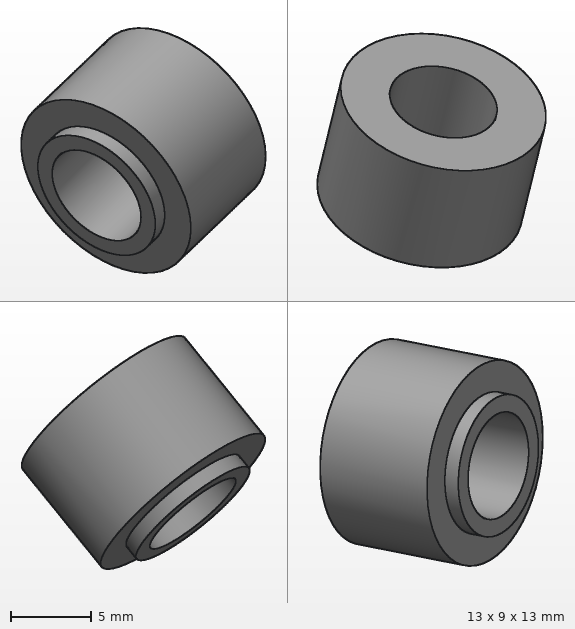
import cadquery as cq

body_diameter = 13.0
collar_diameter = 9.0
bore_diameter = 6.8
total_length = 9.0
collar_length = 1.0
body_length = total_length - collar_length

body = cq.Workplane("XZ").circle(body_diameter / 2).extrude(-body_length)
collar = cq.Workplane("XZ").circle(collar_diameter / 2).extrude(collar_length)

bore = (
    cq.Workplane("XZ", origin=(0, -collar_length, 0))
    .circle(bore_diameter / 2)
    .extrude(-total_length)
)

result = body.union(collar).cut(bore)